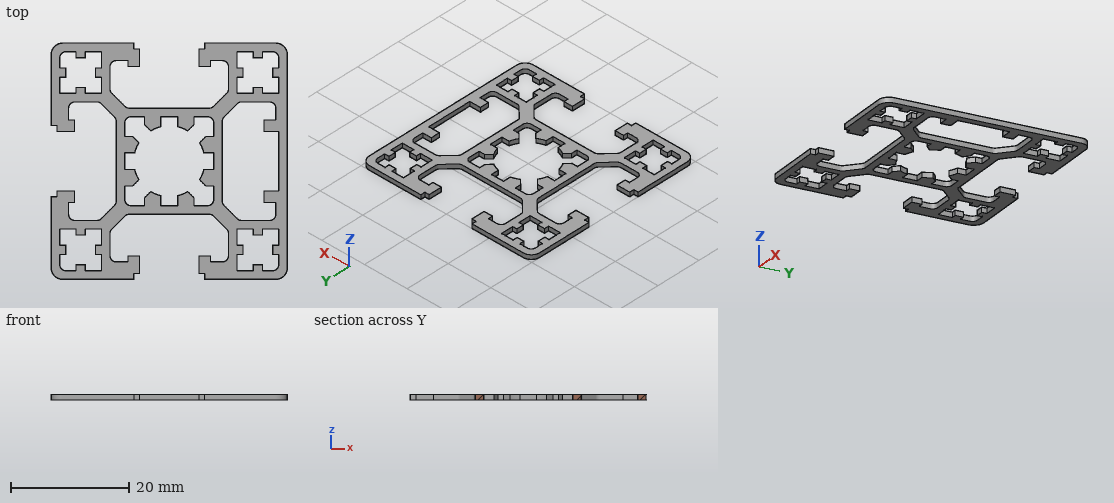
import cadquery as cq
import math

SIDE = 40.0
THICKNESS = 1.0
OUTER_RADIUS = 2.0
INNER_RADIUS = 1.0

CELL_SIDE = 7.0
CELL_PITCH = 30.0
TAB_WIDTH = 1.6
TAB_LENGTH = 1.0

MOUTH_WIDTH = 12.0
MOUTH_DEPTH = 1.0
THROAT_WIDTH = 10.0
LIP_WIDTH = 2.0
LIP_DEPTH = 4.0
OPEN_CEILING_DEPTH = 3.0
CLOSED_CEILING_DEPTH = 2.0
CHAMBER_WIDTH = 20.0
DIAGONAL_WEB = 2.5

CAVITY_SIDE = 15.0
BORE_RADIUS = 6.0
TOOTH_GAP = 2.8
TOOTH_WIDTH = 2.8
TOOTH_BEVEL_START = 6.2

HALF = SIDE / 2
CELL_CENTER = CELL_PITCH / 2
WALL = HALF - CELL_CENTER - CELL_SIDE / 2
CHAMBER_FLOOR = CAVITY_SIDE / 2 + WALL
LIP_END = HALF - LIP_DEPTH
HALF_THROAT = THROAT_WIDTH / 2

QUARTER_TURNS = (0, 90, 180, 270)


def prism(points):
    """Full-thickness block with the given polygonal outline."""
    return cq.Workplane("XY").polyline(points).close().extrude(THICKNESS)


def box(x_min, x_max, y_min, y_max):
    """Full-thickness block between the given limits."""
    return prism([(x_min, y_min), (x_max, y_min), (x_max, y_max), (x_min, y_max)])


def square(side):
    """Full-thickness square block centered on the origin."""
    return box(-side / 2, side / 2, -side / 2, side / 2)


def band(width, y_min, y_max):
    """Full-thickness block centered on the Y axis."""
    return box(-width / 2, width / 2, y_min, y_max)


def turned(body, angle):
    """Copy of the body turned about the plate center."""
    return body.rotate((0, 0, 0), (0, 0, 1), angle)


def slot_chamber(ceiling_depth):
    """Void of a T-slot on the +Y side, from the ceiling and lips down to the central web."""
    half_width = CHAMBER_WIDTH / 2
    ceiling = HALF - ceiling_depth
    slope_offset = DIAGONAL_WEB / math.sqrt(2)
    floor_end = CHAMBER_FLOOR - slope_offset
    slope_top = half_width + slope_offset
    void = prism([
        (-half_width, ceiling),
        (-half_width, slope_top),
        (-floor_end, CHAMBER_FLOOR),
        (floor_end, CHAMBER_FLOOR),
        (half_width, slope_top),
        (half_width, ceiling),
    ])
    void = void.edges("|Z").fillet(INNER_RADIUS)
    lip_root = HALF_THROAT + LIP_WIDTH
    right_lip = box(HALF_THROAT, lip_root, LIP_END, HALF)
    left_lip = box(-lip_root, -HALF_THROAT, LIP_END, HALF)
    return void.cut(right_lip).cut(left_lip)


def open_slot():
    """T-slot void on the +Y side that opens through the outer face."""
    throat = band(THROAT_WIDTH, LIP_END, HALF)
    mouth = band(MOUTH_WIDTH, HALF - MOUTH_DEPTH, HALF)
    return slot_chamber(OPEN_CEILING_DEPTH).union(throat).union(mouth)


def closed_slot():
    """T-slot void on the +Y side that stops at the outer wall."""
    throat = band(THROAT_WIDTH, LIP_END, HALF - WALL)
    return slot_chamber(CLOSED_CEILING_DEPTH).union(throat)


def corner_cell():
    """Void of the +X +Y corner cell, rounded only at its outermost corner."""
    half_side = CELL_SIDE / 2
    void = square(CELL_SIDE).edges(">(1, 1, 0)").fillet(INNER_RADIUS)
    tab = band(TAB_WIDTH, half_side - TAB_LENGTH, half_side)
    for angle in QUARTER_TURNS:
        void = void.cut(turned(tab, angle))
    return void.translate((CELL_CENTER, CELL_CENTER, 0))


def central_cavity():
    """Rounded square void, less its eight teeth, plus the round bore that trims them."""
    half_side = CAVITY_SIDE / 2
    inner_side = TOOTH_GAP / 2
    outer_side = inner_side + TOOTH_WIDTH
    bevel_end = TOOTH_BEVEL_START - TOOTH_WIDTH
    tooth = prism([
        (inner_side, half_side),
        (outer_side, half_side),
        (outer_side, TOOTH_BEVEL_START),
        (inner_side, bevel_end),
    ])
    tooth_pair = tooth.union(tooth.mirror("YZ"))
    void = square(CAVITY_SIDE).edges("|Z").fillet(INNER_RADIUS)
    for angle in QUARTER_TURNS:
        void = void.cut(turned(tooth_pair, angle))
    bore = cq.Workplane("XY").circle(BORE_RADIUS).extrude(THICKNESS)
    return void.union(bore)


plate = square(SIDE).edges("|Z").fillet(OUTER_RADIUS)

for angle in QUARTER_TURNS:
    plate = plate.cut(turned(corner_cell(), angle))

for angle in (0, 90, 180):
    plate = plate.cut(turned(open_slot(), angle))
plate = plate.cut(turned(closed_slot(), 270))

result = plate.cut(central_cavity())